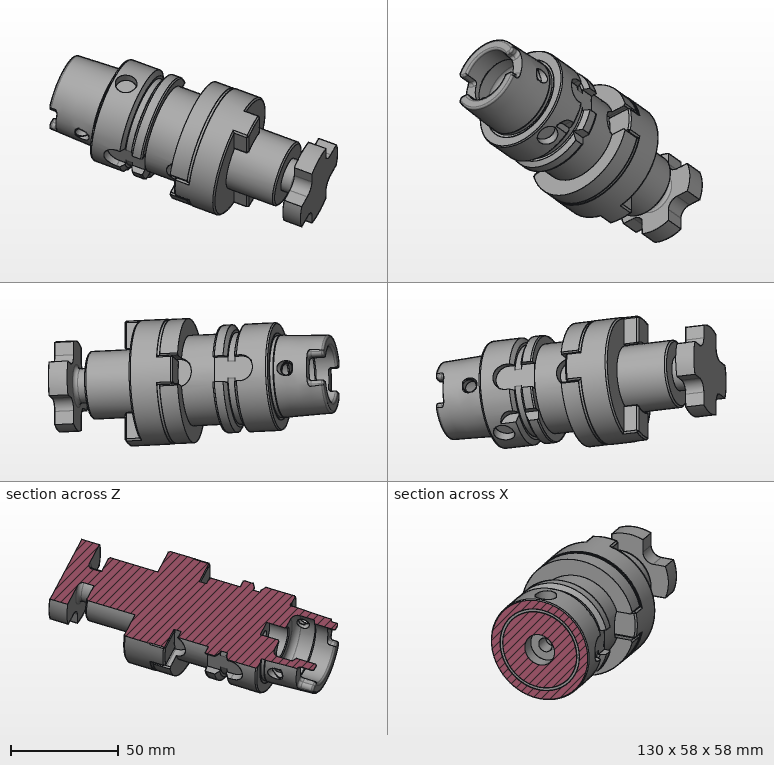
import cadquery as cq
import math


TAPER_END = 23.1
FLANGE_START = 24.8
FLANGE_END = 51.0
COLLAR_START = 66.8
COLLAR_END = 75.4
RING_START = 76.7
RING_END = 89.8
TENON_END = 97.0
SPIGOT_END = 114.1
SCREW_HEAD_START = 121.0
LENGTH = 130.0

TAPER_SMALL_D = 36.3
TAPER_LARGE_D = 38.2
RELIEF_D = 38.0
FACE_RELIEF_D = 40.4
FLANGE_D = 50.0
BODY_D = 42.0
COLLAR_D = 57.7
GAP_D = 57.2
RING_D = 58.0
RING_BORE_D = 32.0
SPIGOT_D = 31.5
NECK_D = 16.0
SCREW_HEAD_D = BODY_D

EDGE_CHAMFER = 0.8
FACE_RELIEF_DEPTH = 0.3
NECK_FILLET = 2.0

GROOVE_D = 42.6
GROOVE_WALL_D = 45.2
GROOVE_FLOOR_START = 41.2
GROOVE_FLOOR_END = 44.5
GROOVE_MOUTH_START = 39.6
GROOVE_MOUTH_END = 46.0

ENTRY_BORE_D = 26.0
ENTRY_BORE_END = 10.4
CLAMP_RECESS_D = 29.9
CLAMP_SHOULDER_ANGLE = 60.0
CLAMP_RECESS_FILLET = 3.1
CLAMP_RECESS_END = 21.7
INNER_BORE_D = 15.0
INNER_BORE_CHAMFER = 0.5
INNER_BORE_END = 31.2
COOLANT_D = 6.8
COOLANT_END = 39.0

DRIVE_SLOT_W = 11.2
DRIVE_SLOT_DEPTH_FRONT = 4.4
DRIVE_SLOT_DEPTH_BACK = 7.7
SLOT_FLOOR_FILLET = 1.5
PRONG_EDGE_FILLET = 1.0
PRONG_CORNER_R = 2.1

CLAMP_HOLE_X = 17.4
CLAMP_HOLE_D = 6.0
CLAMP_COUNTERBORE_X = 17.0
CLAMP_COUNTERBORE_D = 7.0
CLAMP_COUNTERBORE_FLOOR = 17.4
CLAMP_COUNTERBORE_LEAN = 25.0
CODE_HOLE_X = 31.8
CODE_HOLE_D = 10.0
CODE_HOLE_DEPTH = 4.5
TOP_HOLE_TURN = 0.0
SIDE_HOLE_TURN = 155.0

KEYWAY_W = 12.2
KEYWAY_START = 31.8
KEYWAY_FLOOR = 20.9
NOTCH_FLOOR_Y = -15.6
NOTCH_Z = -21.5
COLLAR_SLOT_W = 13.8
COLLAR_SLOT_START = 61.9
COLLAR_SLOT_FLOOR = RING_BORE_D / 2
COLLAR_SLOT_CHAMFER = 0.9
TENON_W = 13.5
REAR_TENON_START = 69.2
TENON_CHAMFER = 0.8

ARM_W = 16.0
ARM_FILLET = 5.2

SEAM_TURN = 45.0


def turned(profile):
    """Revolve an (x, radius) outline about the X axis, keeping the seam clear of the keys."""
    return profile.close().revolve(360, (0, 0, 0), (1, 0, 0)).rotate((0, 0, 0), (1, 0, 0), SEAM_TURN)


def cylinder_x(diameter, start, end):
    """Cylinder about the X axis, with its seam in line with that of the turned body."""
    cylinder = cq.Workplane("YZ", origin=(start, 0, 0)).circle(diameter / 2).extrude(end - start)
    return cylinder.rotate((0, 0, 0), (1, 0, 0), SEAM_TURN)


def block(x, y, z):
    """Box from (low, high) pairs along each axis."""
    size = [high - low for low, high in (x, y, z)]
    return cq.Workplane("XY", origin=(x[0], y[0], z[0])).box(*size, centered=False)


def outer_body():
    """Taper, grooved flange, collar, driving ring, spigot and screw neck in one outline."""
    flange_r = FLANGE_D / 2
    spigot_r = SPIGOT_D / 2
    ring_r = RING_D / 2
    neck_r = NECK_D / 2
    relief_floor = FLANGE_START + FACE_RELIEF_DEPTH
    outline = (
        cq.Workplane("XY")
        .moveTo(0, 0)
        .lineTo(0, TAPER_SMALL_D / 2)
        .lineTo(TAPER_END, TAPER_LARGE_D / 2)
        .lineTo(TAPER_END + EDGE_CHAMFER / 2, RELIEF_D / 2)
        .lineTo(relief_floor, RELIEF_D / 2)
        .lineTo(relief_floor, FACE_RELIEF_D / 2)
        .lineTo(FLANGE_START, FACE_RELIEF_D / 2)
        .lineTo(FLANGE_START, flange_r - EDGE_CHAMFER / 2)
        .lineTo(FLANGE_START + EDGE_CHAMFER, flange_r)
        .lineTo(GROOVE_MOUTH_START, flange_r)
        .lineTo(GROOVE_FLOOR_START, GROOVE_WALL_D / 2)
        .lineTo(GROOVE_FLOOR_START, GROOVE_D / 2)
        .lineTo(GROOVE_FLOOR_END, GROOVE_D / 2)
        .lineTo(GROOVE_FLOOR_END, GROOVE_WALL_D / 2)
        .lineTo(GROOVE_MOUTH_END, flange_r)
        .lineTo(FLANGE_END - EDGE_CHAMFER, flange_r)
        .lineTo(FLANGE_END, flange_r - EDGE_CHAMFER / 2)
        .lineTo(FLANGE_END, BODY_D / 2)
        .lineTo(COLLAR_START, BODY_D / 2)
        .lineTo(COLLAR_START, COLLAR_D / 2)
        .lineTo(COLLAR_END, COLLAR_D / 2)
        .lineTo(COLLAR_END, GAP_D / 2)
        .lineTo(RING_START, GAP_D / 2)
        .lineTo(RING_START, ring_r)
        .lineTo(RING_END - EDGE_CHAMFER, ring_r)
        .lineTo(RING_END, ring_r - EDGE_CHAMFER)
        .lineTo(RING_END, spigot_r)
        .lineTo(SPIGOT_END - EDGE_CHAMFER, spigot_r)
        .lineTo(SPIGOT_END, spigot_r - EDGE_CHAMFER)
        .lineTo(SPIGOT_END, neck_r)
        .lineTo(SCREW_HEAD_START - NECK_FILLET, neck_r)
        .radiusArc((SCREW_HEAD_START, neck_r + NECK_FILLET), -NECK_FILLET)
        .lineTo(SCREW_HEAD_START, 0)
    )
    return turned(outline)


def shank_bore():
    """Bore with an internal clamping shoulder, a recess behind it and a coolant passage."""
    entry_r = ENTRY_BORE_D / 2
    recess_r = CLAMP_RECESS_D / 2
    shoulder_length = (recess_r - entry_r) / math.tan(math.radians(CLAMP_SHOULDER_ANGLE))
    inner_r = INNER_BORE_D / 2
    outline = (
        cq.Workplane("XY")
        .moveTo(0, 0)
        .lineTo(0, entry_r)
        .lineTo(ENTRY_BORE_END, entry_r)
        .lineTo(ENTRY_BORE_END + shoulder_length, recess_r)
        .lineTo(CLAMP_RECESS_END - CLAMP_RECESS_FILLET, recess_r)
        .radiusArc((CLAMP_RECESS_END, recess_r - CLAMP_RECESS_FILLET), CLAMP_RECESS_FILLET)
        .lineTo(CLAMP_RECESS_END, inner_r + INNER_BORE_CHAMFER)
        .lineTo(CLAMP_RECESS_END + INNER_BORE_CHAMFER, inner_r)
        .lineTo(INNER_BORE_END, inner_r)
        .lineTo(INNER_BORE_END, COOLANT_D / 2)
        .lineTo(COOLANT_END, COOLANT_D / 2)
        .lineTo(COOLANT_END, 0)
    )
    return turned(outline)


def drive_slot(side, depth):
    """Slot through one wall of the taper that widens outward around the rounded prong corners."""
    half_w = DRIVE_SLOT_W / 2
    rim = TAPER_LARGE_D / 2
    centre_z = half_w + PRONG_CORNER_R
    centre_y = math.sqrt((TAPER_SMALL_D / 2 - PRONG_CORNER_R) ** 2 - centre_z ** 2)
    corner_y = side * centre_y
    tip_y = side * (centre_y + PRONG_CORNER_R)
    outer_y = side * rim
    round_offset = PRONG_CORNER_R * math.sqrt(0.5)
    round_y = side * (centre_y + round_offset)
    round_z = centre_z - round_offset
    return (
        cq.Workplane("YZ")
        .moveTo(0, -half_w)
        .lineTo(corner_y, -half_w)
        .threePointArc((round_y, -round_z), (tip_y, -centre_z))
        .lineTo(tip_y, -rim)
        .lineTo(outer_y, -rim)
        .lineTo(outer_y, rim)
        .lineTo(tip_y, rim)
        .lineTo(tip_y, centre_z)
        .threePointArc((round_y, round_z), (corner_y, half_w))
        .lineTo(0, half_w)
        .close()
        .extrude(depth)
        .faces(">X").edges("not |Z").fillet(SLOT_FLOOR_FILLET)
    )


def clamp_holes():
    """Cross hole through both walls of the taper, with a counterbore leaning toward +X at each mouth."""
    reach = TAPER_LARGE_D
    hole = cq.Workplane("XZ", origin=(CLAMP_HOLE_X, reach / 2, 0)).circle(CLAMP_HOLE_D / 2).extrude(reach)
    lean = math.radians(CLAMP_COUNTERBORE_LEAN)
    for side in (-1, 1):
        floor = cq.Plane(
            origin=(CLAMP_COUNTERBORE_X, side * CLAMP_COUNTERBORE_FLOOR, 0),
            xDir=(0, 0, 1),
            normal=(math.sin(lean), side * math.cos(lean), 0),
        )
        hole = hole.union(cq.Workplane(floor).circle(CLAMP_COUNTERBORE_D / 2).extrude(reach))
    return hole


def code_hole(turn):
    """Blind radial hole in the flange, turned about X from the +Z direction."""
    floor = FLANGE_D / 2 - CODE_HOLE_DEPTH
    hole = cq.Workplane("XY", origin=(CODE_HOLE_X, 0, floor)).circle(CODE_HOLE_D / 2).extrude(FLANGE_D)
    return hole.rotate((0, 0, 0), (1, 0, 0), turn)


def round_end_slot(start, end, width, floor_y, z, side):
    """Slot along X with a rounded start, open outward from floor_y and at its end."""
    centre_x = start + width / 2
    outline = (
        cq.Workplane("XZ", origin=(0, floor_y, 0))
        .moveTo(end, z - width / 2)
        .lineTo(centre_x, z - width / 2)
        .threePointArc((start, z), (centre_x, z + width / 2))
        .lineTo(end, z + width / 2)
        .close()
    )
    return outline.extrude(-side * RING_D)


def collar_slot_chamfers(side):
    """Wedges that break the outer edges of the collar slot on one Y side."""
    half_w = COLLAR_SLOT_W / 2
    edge_y = math.sqrt((COLLAR_D / 2) ** 2 - half_w ** 2)
    root_y = edge_y - COLLAR_SLOT_CHAMFER
    tip_y = edge_y + COLLAR_SLOT_CHAMFER
    tip_z = half_w + 2 * COLLAR_SLOT_CHAMFER
    return (
        cq.Workplane("YZ", origin=(COLLAR_START, 0, 0))
        .moveTo(side * root_y, -half_w)
        .lineTo(side * tip_y, -tip_z)
        .lineTo(side * tip_y, tip_z)
        .lineTo(side * root_y, half_w)
        .close()
        .extrude(COLLAR_END - COLLAR_START)
    )


def rear_tenon(side):
    """Key of the driving ring that fills part of the collar slot on one Y side."""
    half_w = TENON_W / 2
    key = block((REAR_TENON_START, RING_START), sorted((0, side * RING_D)), (-half_w, half_w))
    key = key.intersect(cylinder_x(RING_D, REAR_TENON_START, RING_START))
    key = key.cut(cylinder_x(RING_BORE_D, REAR_TENON_START, RING_START))
    return key.edges("|X or <X").chamfer(TENON_CHAMFER)


def front_tenon(side):
    """Key on the open face of the driving ring, clear of the spigot."""
    half_w = TENON_W / 2
    root_x = RING_END - EDGE_CHAMFER
    key = block((root_x, TENON_END), (-half_w, half_w), sorted((0, side * RING_D)))
    key = key.intersect(cylinder_x(RING_D, root_x, TENON_END))
    key = key.cut(cylinder_x(RING_BORE_D, root_x, TENON_END))
    return key.edges("|X or >X").chamfer(TENON_CHAMFER)


def screw_head():
    """Four-armed head of the clamping screw."""
    thickness = LENGTH - SCREW_HEAD_START
    plane = cq.Workplane("YZ", origin=(SCREW_HEAD_START, 0, 0))
    cross = plane.rect(ARM_W, SCREW_HEAD_D).extrude(thickness)
    cross = cross.union(plane.rect(SCREW_HEAD_D, ARM_W).extrude(thickness))
    reach = ARM_W / 2 + ARM_FILLET
    inner_corners = cq.selectors.BoxSelector((SCREW_HEAD_START, -reach, -reach), (LENGTH, reach, reach))
    cross = cross.edges("|X").edges(inner_corners).fillet(ARM_FILLET)
    return cross.intersect(cylinder_x(SCREW_HEAD_D, SCREW_HEAD_START, LENGTH))


result = outer_body().cut(shank_bore())
result = result.cut(drive_slot(-1, DRIVE_SLOT_DEPTH_FRONT)).cut(drive_slot(1, DRIVE_SLOT_DEPTH_BACK))
for turn in (TOP_HOLE_TURN, SIDE_HOLE_TURN):
    result = result.cut(code_hole(turn))

result = result.faces("<X").edges().fillet(PRONG_EDGE_FILLET)
result = result.cut(clamp_holes())

for side in (-1, 1):
    result = result.cut(round_end_slot(KEYWAY_START, FLANGE_END, KEYWAY_W, side * KEYWAY_FLOOR, 0, side))
    result = result.cut(
        round_end_slot(COLLAR_SLOT_START, RING_START, COLLAR_SLOT_W, side * COLLAR_SLOT_FLOOR, 0, side)
    )
    result = result.cut(collar_slot_chamfers(side))
result = result.cut(round_end_slot(KEYWAY_START, FLANGE_END, KEYWAY_W, NOTCH_FLOOR_Y, NOTCH_Z, -1))

for side in (-1, 1):
    result = result.union(rear_tenon(side)).union(front_tenon(side))
result = result.union(screw_head())